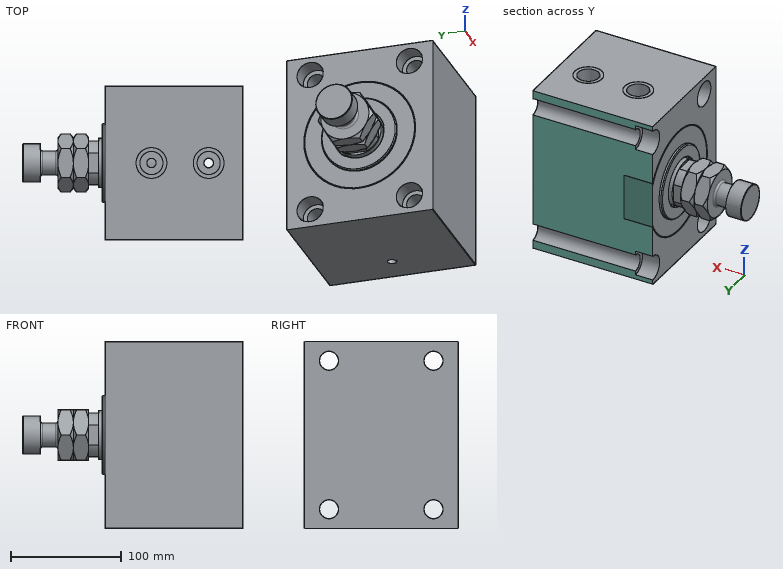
import cadquery as cq
import math


block_length = 125.0
block_width = 140.0
block_height = 170.0
block_edge_chamfer = 0.5

mount_spacing_y = 95.0
mount_spacing_z = 135.0
mount_hole_diameter = 17.0
mount_counterbore_diameter = 25.0
mount_counterbore_depth = 18.0

front_port_x = 42.0
rear_port_x = 94.0
spotface_diameter = 28.0
spotface_depth = 0.2
port_diameter = 21.0
port_depth = 14.0
passage_diameter = 8.5

gland_diameter = 106.0
gland_depth = 30.0
gland_joint_chamfer = 0.5
gland_lip_diameter = 72.0
gland_lip_length = 3.0
gland_lip_chamfer = 1.0
wiper_recess_diameter = 48.5
wiper_recess_depth = 3.0

rod_diameter = 45.0
rod_front_x = -6.0
rod_rear_x = (front_port_x + rear_port_x) / 2
wrench_neck_diameter = 44.0
wrench_flat_width = 40.0

hex_sides = 6
hex_across_flats = 46.0
hex_chamfer_diameter = 46.0
hex_chamfer_angle = 40.0
hex_length = 14.0
hex_count = 2
neck_length = 16.0
neck_diameter = 22.0
neck_fillet = 2.0
head_front_x = -75.0
head_length = 16.0
head_diameter = 35.0
head_edge_chamfer = 0.5
hex_front_x = head_front_x + head_length + neck_length
coupling_rear_x = hex_front_x + hex_count * hex_length


def x_cylinder(diameter, start_x, end_x):
    """Cylinder on the X axis between two X positions."""
    return cq.Workplane("YZ", origin=(start_x, 0, 0)).circle(diameter / 2).extrude(end_x - start_x)


def port(x, passage_end_z):
    """Cutting shape of a spotfaced port with a narrow passage down to passage_end_z."""
    top = block_height / 2
    steps = [
        (spotface_diameter, top - spotface_depth),
        (port_diameter, top - port_depth),
        (passage_diameter, passage_end_z),
    ]
    cutter = cq.Workplane("XY")
    for diameter, end_z in steps:
        step = cq.Workplane("XY", origin=(x, 0, top)).circle(diameter / 2).extrude(end_z - top)
        cutter = cutter.union(step)
    return cutter


def make_housing():
    block = cq.Workplane("XY").box(block_length, block_width, block_height, centered=(False, True, True))
    block = block.edges("|X").chamfer(block_edge_chamfer)
    block = (
        block.faces("<X").workplane(centerOption="CenterOfBoundBox")
        .rect(mount_spacing_y, mount_spacing_z, forConstruction=True)
        .vertices()
        .cboreHole(mount_hole_diameter, mount_counterbore_diameter, mount_counterbore_depth)
    )
    block = block.cut(port(front_port_x, 0))
    block = block.cut(port(rear_port_x, -block_height / 2))
    block = block.cut(x_cylinder(gland_diameter, 0, gland_depth))
    gland_seat_rim = cq.selectors.RadiusNthSelector(-1)
    block = block.faces("<X").edges("%CIRCLE").edges(gland_seat_rim).chamfer(gland_joint_chamfer)
    return block.cut(x_cylinder(rod_diameter, 0, rod_rear_x))


def make_gland():
    gland = x_cylinder(gland_diameter, 0, gland_depth).faces("<X").edges().chamfer(gland_joint_chamfer)
    lip = x_cylinder(gland_lip_diameter, -gland_lip_length, 0)
    lip = lip.faces("<X").edges().chamfer(gland_lip_chamfer)
    gland = gland.union(lip)
    gland = gland.cut(x_cylinder(rod_diameter, -gland_lip_length, gland_depth))
    recess_end_x = wiper_recess_depth - gland_lip_length
    return gland.cut(x_cylinder(wiper_recess_diameter, -gland_lip_length, recess_end_x))


def make_rod():
    wrench_neck_length = rod_front_x - coupling_rear_x
    flats = cq.Workplane("YZ", origin=(coupling_rear_x, 0, 0)).rect(wrench_flat_width, wrench_flat_width)
    neck = x_cylinder(wrench_neck_diameter, coupling_rear_x, rod_front_x)
    neck = neck.intersect(flats.extrude(wrench_neck_length))
    return x_cylinder(rod_diameter, rod_front_x, rod_rear_x).union(neck)


def hexagon(front_x):
    """Hexagon with flats on top and bottom and both ends chamfered by a cone."""
    corner_radius = hex_across_flats / 2 / math.cos(math.pi / hex_sides)
    chamfer_height = corner_radius - hex_chamfer_diameter / 2
    chamfer_length = chamfer_height * math.tan(math.radians(hex_chamfer_angle))
    outline = cq.Workplane("YZ", origin=(front_x, 0, 0)).polygon(hex_sides, 2 * corner_radius)
    prism = outline.extrude(hex_length)
    envelope = x_cylinder(2 * corner_radius, front_x, front_x + hex_length)
    envelope = envelope.faces("<X or >X").edges().chamfer(chamfer_length, chamfer_height)
    return prism.intersect(envelope)


def make_coupling():
    head_rear_x = head_front_x + head_length
    coupling = x_cylinder(head_diameter, head_front_x, head_rear_x)
    coupling = coupling.faces("<X").edges().chamfer(head_edge_chamfer)
    coupling = coupling.union(x_cylinder(neck_diameter, head_rear_x, hex_front_x))
    for index in range(hex_count):
        coupling = coupling.union(hexagon(hex_front_x + index * hex_length))
    neck_ends = cq.selectors.RadiusNthSelector(0)
    return coupling.edges("%CIRCLE").edges(neck_ends).fillet(neck_fillet)


housing = make_housing()
gland = make_gland()
rod = make_rod()
coupling = make_coupling()

result = cq.Compound.makeCompound([housing.val(), gland.val(), rod.val(), coupling.val()])